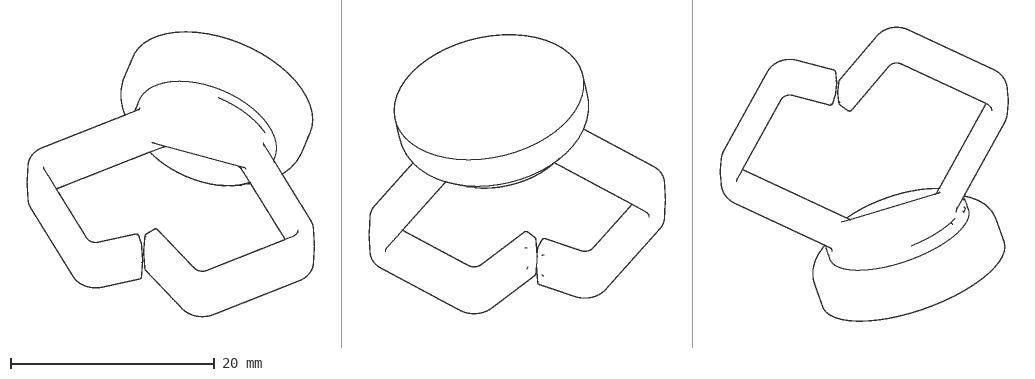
import cadquery as cq
import math


cup_radius = 9.48
cup_depth = 4.5
cup_edge_radius = 1.98

disc_radius = 7.23
disc_thickness = 1.25

strip_height = 5.75
strip_thickness = 1.7
draft_angle = 2
bend_radius = 1.75
side_bend = (12.17, -15.5)
lower_bend_offset = 6.65
right_tip_length = 6.3
left_tip_length = 4.13

upper_run_angle = 45
lower_run_angle = -45
tip_run_angle = -124

bar_front_height = 2.0
bar_depth = 1.45
bar_slope = 20
bar_length = 10.63
bar_edge_radius = 0.5

edge_radius = 0.25
root_radius = 0.45
flare_radius = 2.5

root_embed = 0.4
foot_embed = 0.05
foot_x = 2.07

disc_face_y = -cup_depth - disc_thickness
embed_y = disc_face_y + root_embed
bar_front_y = disc_face_y - bar_depth
half_height = strip_height / 2
draft_inset = half_height * math.tan(math.radians(draft_angle))
lower_bend = (side_bend[0] - lower_bend_offset, side_bend[1] - lower_bend_offset)
clearance = 0.015


def rounded_plate(radius, thickness, front_y, front_edge_radius):
    """Round plate on the Y axis with its rounded front at front_y."""
    plate = cq.Workplane("XZ", origin=(0, front_y + thickness, 0)).circle(radius).extrude(thickness)
    return plate.faces("<Y").edges().fillet(front_edge_radius)


def polar(center, radius, angle):
    """Point at a distance and an angle in degrees from a centre."""
    turn = math.radians(angle)
    return (center[0] + radius * math.cos(turn), center[1] + radius * math.sin(turn))


def arm_outline(tip_length, inset, z):
    """Outline of the arm on the +X side at height z, with every side drawn in by the inset."""
    outer = bend_radius + strip_thickness / 2 - inset
    inner = bend_radius - strip_thickness / 2 + inset
    side_middle = (upper_run_angle + lower_run_angle) / 2
    lower_middle = (lower_run_angle + tip_run_angle) / 2
    foot_y = disc_face_y + foot_embed + inset

    def upper_run(radius, y):
        """Point at y on one side of the 45 degree run that leads to the disc."""
        start = polar(side_bend, radius, upper_run_angle)
        return (start[0] + start[1] - y, y)

    def tip(radius):
        run_start = polar(lower_bend, radius, tip_run_angle)
        return polar(run_start, tip_length - inset, tip_run_angle - 90)

    return (
        cq.Workplane("XY", origin=(0, 0, z))
        .moveTo(*upper_run(outer, embed_y))
        .lineTo(*polar(side_bend, outer, upper_run_angle))
        .threePointArc(polar(side_bend, outer, side_middle), polar(side_bend, outer, lower_run_angle))
        .lineTo(*polar(lower_bend, outer, lower_run_angle))
        .threePointArc(polar(lower_bend, outer, lower_middle), polar(lower_bend, outer, tip_run_angle))
        .lineTo(*tip(outer))
        .lineTo(*tip(inner))
        .lineTo(*polar(lower_bend, inner, tip_run_angle))
        .threePointArc(polar(lower_bend, inner, lower_middle), polar(lower_bend, inner, lower_run_angle))
        .lineTo(*polar(side_bend, inner, lower_run_angle))
        .threePointArc(polar(side_bend, inner, side_middle), polar(side_bend, inner, upper_run_angle))
        .lineTo(*upper_run(inner, foot_y))
        .lineTo(foot_x, foot_y)
        .lineTo(foot_x, embed_y)
        .close()
        .val()
    )


def upright_edges_near(body, point, reach):
    """Edges of an upper half that run from mid height to the top near a point in XY."""
    box = cq.selectors.BoxSelector(
        (point[0] - reach, point[1] - reach, clearance),
        (point[0] + reach, point[1] + reach, half_height - clearance),
    )
    return body.edges(box)


def make_arm(tip_length):
    """Arm on the +X side, drafted both ways from mid height, with rounded edges."""
    outlines = [arm_outline(tip_length, 0, 0), arm_outline(tip_length, draft_inset, half_height)]
    half = cq.Workplane(cq.Solid.makeLoft(outlines, True))

    inner_run_start = polar(side_bend, bend_radius - strip_thickness / 2, upper_run_angle)
    foot_corner = (inner_run_start[0] + inner_run_start[1] - disc_face_y, disc_face_y)
    half = upright_edges_near(half, foot_corner, 2 * draft_inset).fillet(flare_radius)

    tip_start = polar(lower_bend, bend_radius, tip_run_angle)
    tip_middle = polar(tip_start, tip_length, tip_run_angle - 90)
    half = upright_edges_near(half, tip_middle, strip_thickness / 2).fillet(edge_radius)

    arm = half.union(half.mirror("XY"))
    return arm.faces("<Z or >Z").edges("not(>Y)").fillet(edge_radius)


def make_bar():
    """Bar between the arms, with sloping sides and a rounded front."""
    front_half = bar_front_height / 2
    back_half = front_half + (embed_y - bar_front_y) * math.tan(math.radians(bar_slope))
    profile = [
        (bar_front_y, -front_half),
        (bar_front_y, front_half),
        (embed_y, back_half),
        (embed_y, -back_half),
    ]
    bar = cq.Workplane("YZ").polyline(profile).close().extrude(bar_length / 2, both=True)
    return bar.faces("<Y").edges("|X").fillet(bar_edge_radius)


def joint_edges():
    """Selector of the edges where the arms and bar leave the disc and the bar meets the arms."""
    reach = disc_radius
    on_disc_face = cq.selectors.BoxSelector(
        (-reach, disc_face_y - clearance, -reach), (reach, disc_face_y + clearance, reach)
    )
    joints = on_disc_face - cq.selectors.TypeSelector("CIRCLE")

    bar_end_x = bar_length / 2
    bar_half = bar_front_height / 2 + bar_depth / 2
    for start_x, end_x in ((-bar_end_x, -bar_end_x / 2), (bar_end_x / 2, bar_end_x)):
        joints = joints + cq.selectors.BoxSelector(
            (start_x, bar_front_y - clearance, -bar_half), (end_x, disc_face_y - clearance, bar_half)
        )
    return joints


def make_hook():
    """Disc, two arms of unequal tip length and the bar, blended into one solid."""
    disc = rounded_plate(disc_radius, disc_thickness, disc_face_y, edge_radius)
    right_arm = make_arm(right_tip_length)
    left_arm = make_arm(left_tip_length).mirror("YZ")
    hook = disc.union(right_arm).union(left_arm).union(make_bar())
    return hook.edges(joint_edges()).fillet(root_radius)


cup = rounded_plate(cup_radius, cup_depth, -cup_depth, cup_edge_radius)
hook = make_hook()

result = cq.Compound.makeCompound([cup.val(), hook.val()])